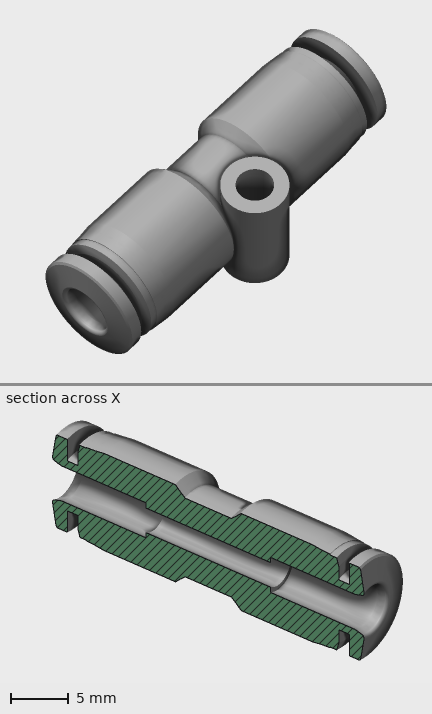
import cadquery as cq
import math

length = 34.0
width = 12.75
end_y = length / 2

barrel_diameter = 10.5
barrel_radius = barrel_diameter / 2
neck_radius = 4.32
neck_half_length = 2.5
barrel_start_y = 3.57
taper_start_y = 11.35
taper_end_y = 13.3
taper_end_radius = 5.05
collar_radius = 5.0
collar_end_y = 14.0
body_end_y = 14.25
body_end_radius = 4.18

stem_radius = 2.9
flange_radius = 5.03
flange_back_y = 15.35
flange_front_y = 16.5
face_edge_radius = 4.83
face_edge_y = 16.63

bore_radius = 1.7
socket_radius = 2.15
socket_depth = 10.2
mouth_radius = 2.65
mouth_round_radius = 0.35
lead_in_radius = mouth_radius - mouth_round_radius
lead_in_depth = 1.02

eyelet_radius = 3.0
eyelet_x = width - barrel_radius - eyelet_radius
eyelet_hole_radius = 1.65
eyelet_height = barrel_diameter


def revolve_about_y(points):
    """Revolve a closed (radius, y) outline about the Y axis."""
    return cq.Workplane("XY").polyline(points).close().revolve(360, (0, 0), (0, 1))


def mirrored_outline(half_outline):
    """Close a (radius, y) half outline with its mirror image and the axis."""
    other_half = [(radius, -y) for radius, y in reversed(half_outline)]
    return [(0, -end_y)] + other_half + half_outline + [(0, end_y)]


def make_outside():
    return revolve_about_y(mirrored_outline([
        (neck_radius, neck_half_length),
        (barrel_radius, barrel_start_y),
        (barrel_radius, taper_start_y),
        (taper_end_radius, taper_end_y),
        (collar_radius, taper_end_y),
        (collar_radius, collar_end_y),
        (body_end_radius, body_end_y),
        (stem_radius, body_end_y),
        (stem_radius, flange_back_y),
        (flange_radius, flange_back_y),
        (flange_radius, flange_front_y),
        (face_edge_radius, face_edge_y),
        (mouth_radius, end_y),
    ]))


def socket_space():
    """Socket at the +Y end, with a tapered lead-in and a convex rounded mouth."""
    socket_floor_y = end_y - socket_depth
    round_start_y = end_y - mouth_round_radius
    arc_offset = mouth_round_radius * math.sqrt(0.5)
    arc_middle = (mouth_radius - arc_offset, round_start_y + arc_offset)
    return (
        cq.Workplane("XY")
        .moveTo(0, socket_floor_y)
        .lineTo(socket_radius, socket_floor_y)
        .lineTo(socket_radius, end_y - lead_in_depth)
        .lineTo(lead_in_radius, round_start_y)
        .threePointArc(arc_middle, (mouth_radius, end_y))
        .lineTo(0, end_y)
        .close()
        .revolve(360, (0, 0), (0, 1))
    )


def make_passage():
    through_bore = cq.Workplane("XZ", origin=(0, end_y, 0)).circle(bore_radius).extrude(length)
    socket = socket_space()
    return through_bore.union(socket).union(socket.mirror("XZ"))


def eyelet_cylinder(radius):
    return (
        cq.Workplane("XY", origin=(eyelet_x, 0, -eyelet_height / 2))
        .circle(radius)
        .extrude(eyelet_height)
    )


result = (
    make_outside()
    .union(eyelet_cylinder(eyelet_radius))
    .cut(make_passage())
    .cut(eyelet_cylinder(eyelet_hole_radius))
)